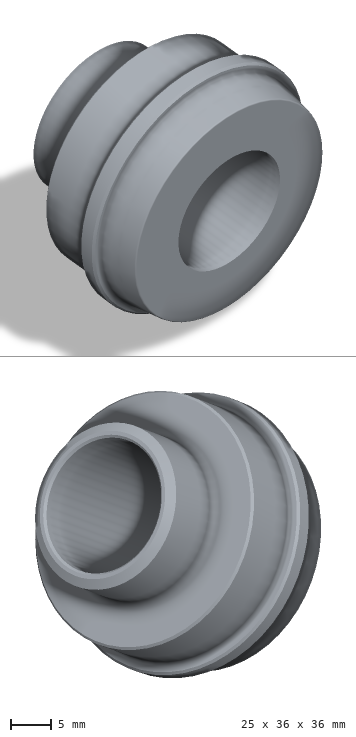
import cadquery as cq
import math

TOTAL_LENGTH = 25.0
SHOULDER_X = 9.0
COLLAR_START_X = 17.0
COLLAR_WIDTH = 2.5
COLLAR_END_X = COLLAR_START_X + COLLAR_WIDTH

BORE_RADIUS = 17.3 / 2
SPIGOT_RADIUS = 21.3 / 2
BODY_RADIUS = 33.0 / 2
COLLAR_RADIUS = 36.0 / 2

NOSE_TIP_RADIUS = 15.95
NOSE_HALF_ANGLE = 9.5
NOSE_LENGTH = TOTAL_LENGTH - COLLAR_END_X
NOSE_BASE_RADIUS = NOSE_TIP_RADIUS + NOSE_LENGTH * math.tan(math.radians(NOSE_HALF_ANGLE))

BEVEL_HEIGHT = 1.2
BEVEL_FACE_ANGLE = 30.0
BEVEL_LENGTH = BEVEL_HEIGHT * math.tan(math.radians(BEVEL_FACE_ANGLE))
BORE_CHAMFER = 0.3
SPIGOT_ROOT_FILLET = 1.0
SHOULDER_CHAMFER = 0.3
COLLAR_CHAMFER = 0.3
COLLAR_ROOT_FILLET = 0.4
NOSE_TIP_FILLET = 0.2

SELECTION_MARGIN = 0.01


def revolved_blank():
    """Stepped ring with sharp corners, apart from the bevelled spigot tip."""
    profile = [
        (0, BORE_RADIUS),
        (0, SPIGOT_RADIUS - BEVEL_HEIGHT),
        (BEVEL_LENGTH, SPIGOT_RADIUS),
        (SHOULDER_X, SPIGOT_RADIUS),
        (SHOULDER_X, BODY_RADIUS),
        (COLLAR_START_X, BODY_RADIUS),
        (COLLAR_START_X, COLLAR_RADIUS),
        (COLLAR_END_X, COLLAR_RADIUS),
        (COLLAR_END_X, NOSE_BASE_RADIUS),
        (TOTAL_LENGTH, NOSE_TIP_RADIUS),
        (TOTAL_LENGTH, BORE_RADIUS),
    ]
    return cq.Workplane("XY").polyline(profile).close().revolve(360, (0, 0, 0), (1, 0, 0))


def circular_edge(part, x, radius):
    """Select the circular edge that crosses the XY plane at (x, radius)."""
    reach = radius + SELECTION_MARGIN
    low = (x - SELECTION_MARGIN, -reach, -reach)
    high = (x + SELECTION_MARGIN, reach, reach)
    in_plane = part.edges("%CIRCLE").edges(cq.selectors.BoxSelector(low, high, boundingbox=True))
    matches = [edge for edge in in_plane.vals() if abs(edge.radius() - radius) < SELECTION_MARGIN]
    return part.newObject(matches)


def chamfer_edges(part):
    """Break the bore mouth, the shoulder corner and both collar corners."""
    chamfers = [
        (0, BORE_RADIUS, BORE_CHAMFER),
        (SHOULDER_X, BODY_RADIUS, SHOULDER_CHAMFER),
        (COLLAR_START_X, COLLAR_RADIUS, COLLAR_CHAMFER),
        (COLLAR_END_X, COLLAR_RADIUS, COLLAR_CHAMFER),
    ]
    for x, radius, size in chamfers:
        part = circular_edge(part, x, radius).chamfer(size)
    return part


def fillet_edges(part):
    """Round the spigot root, both collar roots and the nose tip."""
    fillets = [
        (SHOULDER_X, SPIGOT_RADIUS, SPIGOT_ROOT_FILLET),
        (COLLAR_START_X, BODY_RADIUS, COLLAR_ROOT_FILLET),
        (COLLAR_END_X, NOSE_BASE_RADIUS, COLLAR_ROOT_FILLET),
        (TOTAL_LENGTH, NOSE_TIP_RADIUS, NOSE_TIP_FILLET),
    ]
    for x, radius, size in fillets:
        part = circular_edge(part, x, radius).fillet(size)
    return part


result = fillet_edges(chamfer_edges(revolved_blank()))